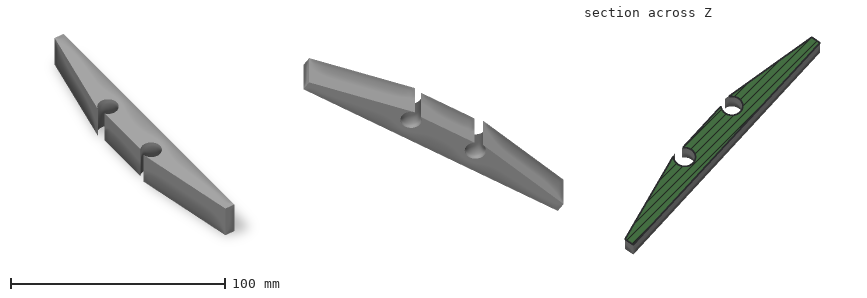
import cadquery as cq

length = 141.0
depth = 16.0
height = 17.0

end_depth = 5.1
land_depth = 15.0
tip_spacing = 37.5

socket_diameter = 10.0
socket_spacing = 35.7
socket_depth = 11.0

half_length = length / 2
tip_x = tip_spacing / 2
socket_x = socket_spacing / 2


def bar():
    """Bar with tapered wings and a recessed flat land between the sockets."""
    right_side = [
        (half_length, 0),
        (half_length, -end_depth),
        (tip_x, -depth),
        (socket_x, -socket_depth),
        (socket_x, -land_depth),
    ]
    left_side = [(-x, y) for x, y in reversed(right_side)]
    return cq.Workplane("XY").polyline(right_side + left_side).close().extrude(height)


def sockets():
    """Vertical cylinders that break out through the front, leaving thin lips."""
    centers = [(-socket_x, -socket_depth), (socket_x, -socket_depth)]
    return cq.Workplane("XY").pushPoints(centers).circle(socket_diameter / 2).extrude(height)


result = bar().cut(sockets())